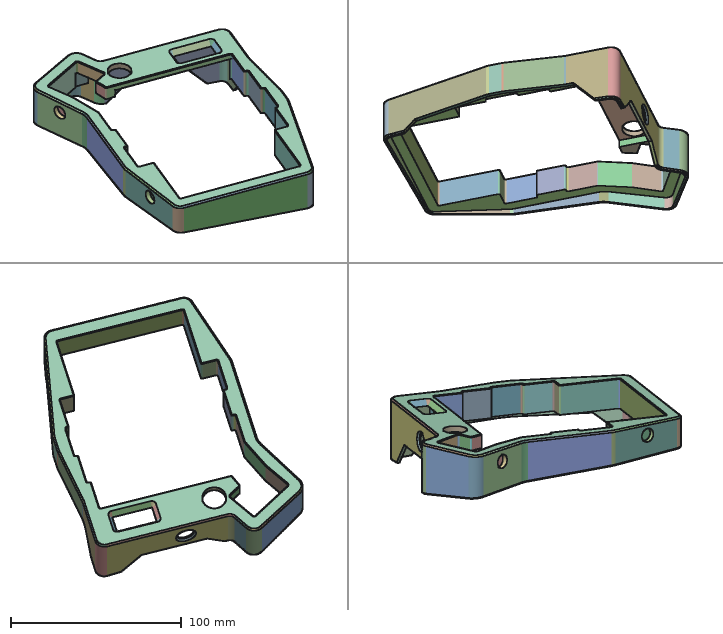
import cadquery as cq
import math

top_chamfer = 1.0
opening_chamfer = 0.5
bottom_chamfer = 0.8
blank_depth = 64.7
blank_span = 646.6

arm_radius = 6.5
corner_radius = 5.7
bend_radius = 9.7
neck_radius = 4.0
wall_left = 13.7
wall_right = 161.6
wall_rear = 127.2
bump_rear = 132.0
wall_front = 17.1
arm_tip = (20.0, -2.1)
arm_root = (57.2, wall_front)
front_bend = (113.3, wall_front)
front_right = (wall_right, 29.7)
outer_corners = [
    (-2.5, 36.5, arm_radius),
    (*arm_tip, arm_radius),
    (*arm_root, bend_radius),
    (*front_bend, bend_radius),
    (*front_right, corner_radius),
    (wall_right, 118.0, corner_radius),
    (92.1, bump_rear, bend_radius),
    (82.8, bump_rear, bend_radius),
    (45.9, wall_rear, bend_radius),
    (wall_left, wall_rear, corner_radius),
    (wall_left, 45.6, neck_radius),
]

opening_radius = 0.89
opening_left = 39.0
opening_right = 153.2
block_left = 115.4
block_front = 35.2
block_rear = 112.3
front_edge = 25.2
front_pad_edge = 27.6
front_pad_left = 77.3
front_pad_right = 95.4
rear_edge = 118.8
rear_step_edge = 121.2
rear_recess_edge = 123.3
rear_step_left = 57.7
rear_recess_left = 76.6
rear_recess_right = 96.2
arm_inner_corner = (8.9, 33.3)
opening_points = [
    arm_inner_corner,
    (23.8, 8.2),
    (39.6, 17.6),
    (58.4, front_edge),
    (front_pad_left, front_edge),
    (front_pad_left, front_pad_edge),
    (front_pad_right, front_pad_edge),
    (front_pad_right, front_edge),
    (block_left, front_edge),
    (block_left, block_front),
    (opening_right, block_front),
    (opening_right, block_rear),
    (block_left, block_rear),
    (block_left, rear_step_edge),
    (rear_recess_right, rear_step_edge),
    (rear_recess_right, rear_recess_edge),
    (rear_recess_left, rear_recess_edge),
    (rear_recess_left, rear_step_edge),
    (rear_step_left, rear_step_edge),
    (rear_step_left, rear_edge),
    (opening_left, rear_edge),
    (opening_left, 38.5),
    (30.9, 35.4),
    (26.0, 43.5),
]

rear_left_depth = 38.3
rise_right = math.tan(math.radians(4))
rise_front = math.tan(math.radians(5))

skirt_thickness = 2.02
ring_depth = 18.5
plate_thickness = 3.7
hook_depth = 8.5
hook_rear = 44.5
bay_left = arm_inner_corner[0]
bay_right = opening_left
bay_front = 32.3

notch_depth = 22.0
steep_side = math.radians(49)
shallow_side = math.radians(39)
left_notch_front = 60.5
left_notch_rear = 100.5
rear_notch_left = 40.9
rear_notch_right = 139.5

slot_mouth_width = 14.5
slot_mouth_length = 29.0
slot_taper = 2.5
slot_corner_radius = 2.6
slot_center = (28.1, 100.7)
plate_hole_diameter = 14.0
plate_hole_center = (27.3, 52.4)

side_hole_diameter = 10.0
side_hole_chamfer = 1.1
side_hole_y = 73.4
side_hole_depth = 12.0

pocket_diameter = 8.2
pocket_length = 3.2
arm_pocket_x = 40.3
arm_pocket_depth = 8.1
right_pocket_x = 136.9
right_pocket_depth = 7.1


def rounded_outline(corners):
    """Closed outline through (x, y, radius) corners, each rounded by a tangent arc."""
    arcs = []
    for i, (x, y, radius) in enumerate(corners):
        corner = cq.Vector(x, y)
        last = cq.Vector(*corners[i - 1][:2])
        following = cq.Vector(*corners[(i + 1) % len(corners)][:2])
        to_last = (last - corner).normalized()
        to_next = (following - corner).normalized()
        bisector = (to_last + to_next).normalized()
        half_angle = to_last.getAngle(to_next) / 2
        tangent_length = radius / math.tan(half_angle)
        arc_distance = radius / math.sin(half_angle) - radius
        start = corner + to_last * tangent_length
        middle = corner + bisector * arc_distance
        end = corner + to_next * tangent_length
        arcs.append([(point.x, point.y) for point in (start, middle, end)])

    outline = cq.Workplane("XY").moveTo(*arcs[-1][-1])
    for start, middle, end in arcs:
        outline = outline.lineTo(*start).threePointArc(middle, end)
    return outline.close()


def slab_below(depth, x_range, y_range):
    """Block that fills the given X and Y ranges from the given depth downwards."""
    (left, right), (front, rear) = x_range, y_range
    size = (right - left, rear - front, blank_depth)
    return cq.Workplane("XY", origin=(left, front, -depth - blank_depth)).box(*size, centered=False)


def outer_body():
    """Solid outline cut off by the sloping underside, with both rims chamfered."""
    blank = rounded_outline(outer_corners).extrude(-blank_depth)
    underside = cq.Plane(
        origin=(wall_left, wall_rear, -rear_left_depth),
        xDir=(1, 0, rise_right),
        normal=(-rise_right, rise_front, 1),
    )
    below = cq.Workplane(underside).rect(blank_span, blank_span).extrude(-blank_depth)
    body = blank.cut(below)
    body = body.faces(">Z").chamfer(top_chamfer)
    return body.faces("<Z").chamfer(bottom_chamfer)


def underside_hollow():
    """Space inside the skirt, below the ring and below the left plate."""
    inside = rounded_outline(outer_corners).offset2D(-skirt_thickness).extrude(-blank_depth)
    below_ring = inside.translate((0, 0, -ring_depth))
    bay_width = (bay_left, bay_right)
    below_plate = slab_below(plate_thickness, bay_width, (hook_rear, bump_rear))
    below_hook = slab_below(hook_depth, bay_width, (bay_front, hook_rear))
    return below_ring.union(below_plate.union(below_hook).intersect(inside))


def opening():
    """Central opening with a widened upper rim."""
    corners = [(x, y, opening_radius) for x, y in opening_points]
    through = rounded_outline(corners).extrude(-blank_depth)
    rim = rounded_outline(corners).offset2D(opening_chamfer).extrude(-opening_chamfer, taper=45)
    return through.union(rim)


def notch(plane, origin, low, high, low_angle, high_angle, length):
    """Trapezoid, flat at the notch depth and widening downwards, extruded from the plane."""
    drop = blank_depth - notch_depth
    return (
        cq.Workplane(plane, origin=origin)
        .moveTo(low, -notch_depth)
        .lineTo(high, -notch_depth)
        .lineTo(high + drop / math.tan(high_angle), -blank_depth)
        .lineTo(low - drop / math.tan(low_angle), -blank_depth)
        .close()
        .extrude(length)
    )


def left_notch():
    return notch("YZ", (wall_left, 0, 0), left_notch_front, left_notch_rear,
                 shallow_side, steep_side, opening_left - wall_left)


def rear_notch():
    return notch("XZ", (0, bump_rear, 0), rear_notch_left, rear_notch_right,
                 steep_side, shallow_side, bump_rear - block_rear)


def slot():
    """Slot that narrows towards the lower face of the plate."""
    mouth = (
        cq.Sketch()
        .rect(slot_mouth_width, slot_mouth_length)
        .vertices()
        .fillet(slot_corner_radius)
    )
    taper_angle = math.degrees(math.atan2(slot_taper, plate_thickness))
    return (
        cq.Workplane("XY")
        .center(*slot_center)
        .placeSketch(mouth)
        .extrude(-plate_thickness, taper=taper_angle)
    )


def plate_hole():
    return cq.Workplane("XY").center(*plate_hole_center).circle(plate_hole_diameter / 2).extrude(-blank_depth)


def side_hole():
    face = cq.Workplane("YZ", origin=(wall_left, side_hole_y, -side_hole_depth))
    radius = side_hole_diameter / 2
    hole = face.circle(radius).extrude(skirt_thickness)
    countersink = face.circle(radius + side_hole_chamfer).extrude(side_hole_chamfer, taper=45)
    return hole.union(countersink)


def slanted_pocket(start, end, x, depth):
    """Blind pocket square to the wall that runs from start to end."""
    slope = (end[1] - start[1]) / (end[0] - start[0])
    center = (x, start[1] + slope * (x - start[0]), -depth)
    wall = cq.Plane(origin=center, xDir=(1, slope, 0), normal=(-slope, 1, 0))
    return cq.Workplane(wall).circle(pocket_diameter / 2).extrude(pocket_length)


result = (
    outer_body()
    .cut(underside_hollow())
    .cut(opening())
    .cut(left_notch())
    .cut(rear_notch())
    .cut(slot())
    .cut(plate_hole())
    .cut(side_hole())
    .cut(slanted_pocket(arm_tip, arm_root, arm_pocket_x, arm_pocket_depth))
    .cut(slanted_pocket(front_bend, front_right, right_pocket_x, right_pocket_depth))
)